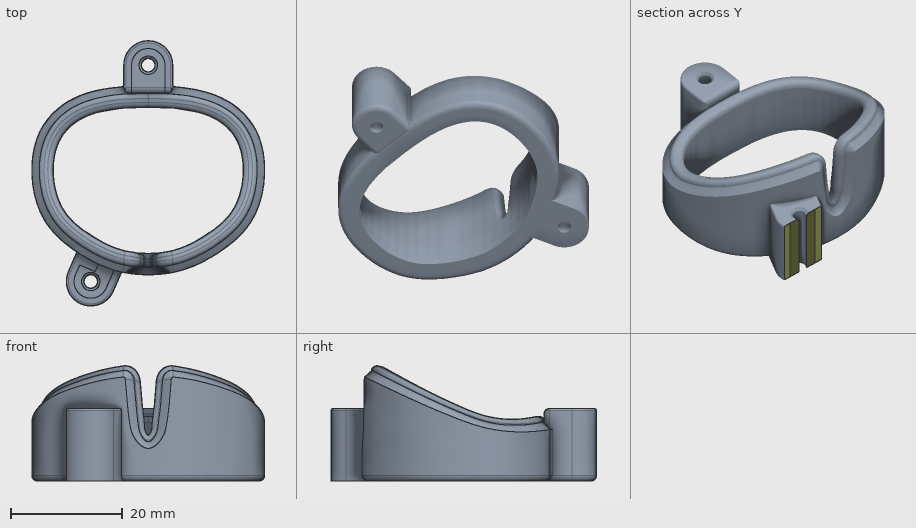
import cadquery as cq
import math

RING_HALF_WIDTH = 20.875
RING_REAR_Y = 15.5
RING_FRONT_Y = -18.38
OUTLINE_RIGHT = [
    (8.7, 14.8),
    (14.7, 12.5),
    (19.0, 8.1),
    (RING_HALF_WIDTH, 0.2),
    (18.2, -9.2),
    (12.15, -14.7),
    (6.1, -17.55),
]
WALL = 3.85
HALF_STATIONS = 12
BEVEL_WIDTH = 1.35
BOTTOM_FILLET = 1.0

BEAD_OUTER_FILLET = 0.84
BEAD_INNER_FILLET = 1.0

BEVEL_FOOT_LINE = (0.447, 10.55, 10.2, 8.8)
BEAD_FOOT_LINE = (0.473, 11.9, 9.0, 10.0)
CREST_OUTER_LINE = (0.473, 12.95, 9.0, 11.1)
CREST_INNER_LINE = (0.525, 13.0, 8.0, 11.05)
RIM_REACH = 30.0
RIM_REAR_Y = 20.0
BLANK_HEIGHT = 30.0
CUTTER_TOP_Z = 2 * BLANK_HEIGHT

NOTCH_TOP_Z = 17.86
NOTCH_HEIGHT = 24.0
NOTCH_TAPER = 0.09
NOTCH_DEPTH = 8.5
NOTCH_LEVELS = (NOTCH_TOP_Z, 12.3, 10.2, 8.6)
BEVEL_FOOT_NOTCH = ((4.1, 3.6, 3.3, 2.9), 5.85, 0.4)
BEAD_FOOT_NOTCH = ((2.55, 2.08, 1.82, 1.46), 7.05, 1.8)
CREST_NOTCH = ((1.42, 0.93, 0.69, 0.39), 8.2, 2.9)
CORNER_MARGIN_X = 3.0
CORNER_LOW_Z = 15.0
CORNER_MAX_DRIFT_X = 0.8
CORNER_MIN_RUN_Y = 1.0
CORNER_MIN_CLIMB = 0.2
UPRIGHT_TOLERANCE = 1e-4

LUG_HEIGHT = 13.0
LUG_RADIUS = 4.4
LUG_LENGTH = 5.0
LUG_EDGE_FILLET = 0.4
LUG_END_FILLET = 1.0
HOLE_DIAMETER = 2.38
HOLE_MOUTH_DIAMETER = 3.3
REAR_LUG = (0.0, 19.2, 180.0)
FRONT_LUG = (-10.3, -19.57, -23.6)

CORE_RADIUS = 3.0
CORE_STEP = 1.93

BLEND_RADIUS = 0.4
BLEND_WALL_Y = 15.34
BLEND_TOP_Z = 9.2


def mirrored_loop(right_half):
    """Closed smooth curve through points running from the rear to the front, and their mirror images."""
    left_half = [(-x, y) for x, y in reversed(right_half[1:-1])]
    points = [cq.Vector(x, y, 0) for x, y in right_half + left_half]
    return cq.Edge.makeSpline(points, periodic=True)


def outline(inset):
    """Closed outline of the ring, moved inward by inset."""
    loop = mirrored_loop([(0, RING_REAR_Y), *OUTLINE_RIGHT, (0, RING_FRONT_Y)])
    if inset:
        moved = []
        for i in range(1, HALF_STATIONS):
            station = i / HALF_STATIONS / 2
            tangent = loop.tangentAt(station)
            point = loop.positionAt(station)
            moved.append((point.x + tangent.y * inset, point.y - tangent.x * inset))
        loop = mirrored_loop([(0, RING_REAR_Y - inset), *moved, (0, RING_FRONT_Y + inset)])
    return cq.Wire.assembleEdges([loop])


def rim_cutter(rim_line):
    """Everything above a rim line, across the full width of the ring."""
    slope, height, valley_y, valley_z = rim_line
    incline = math.atan(slope)
    radius = (valley_z - height + slope * valley_y) / (1 / math.cos(incline) - 1)

    def on_arc(angle):
        return (valley_y + radius * math.sin(angle), valley_z + radius * (1 - math.cos(angle)))

    def on_straight(y):
        return (y, height - slope * y)

    tangent_y = valley_y - radius * math.sin(incline)
    rear_angle = math.asin((RIM_REAR_Y - valley_y) / radius)
    middle_y = (tangent_y - RIM_REACH) / 2
    straight = [on_straight(-RIM_REACH), on_straight(middle_y), on_straight(tangent_y)]
    arc = [on_arc(-incline / 2), on_arc(0), on_arc(rear_angle)]
    return (
        cq.Workplane("YZ", origin=(-RIM_REACH, 0, 0))
        .spline([*straight, *arc])
        .lineTo(RIM_REAR_Y, CUTTER_TOP_Z)
        .lineTo(-RIM_REACH, CUTTER_TOP_Z)
        .close()
        .extrude(2 * RIM_REACH)
    )


def notch_cutter(notch):
    """Tapered, round-ended slot through the front of the ring."""
    half_widths, floor_z, _ = notch
    mouth_half = half_widths[0] + (NOTCH_HEIGHT - NOTCH_TOP_Z) * NOTCH_TAPER
    side = [(mouth_half, NOTCH_HEIGHT), *zip(half_widths, NOTCH_LEVELS)]
    mirrored = [(-x, z) for x, z in side]
    return (
        cq.Workplane("XZ", origin=(0, -NOTCH_DEPTH, 0))
        .spline([*mirrored, (0, floor_z), *reversed(side)])
        .close()
        .extrude(RIM_REACH)
    )


def is_notch_corner(edge):
    """True for an edge that runs along Y and climbs, as the upper corners of the notch do."""
    run = edge.endPoint() - edge.startPoint()
    along_y = abs(run.x) < CORNER_MAX_DRIFT_X and abs(run.y) > CORNER_MIN_RUN_Y
    return along_y and abs(edge.tangentAt(0.5).z) > CORNER_MIN_CLIMB


def wall_face(inset, rim_line, notch):
    """Vertical wall on the outline, from the floor up to the rim line and notch."""
    half_widths, _, corner_radius = notch
    prism = cq.Solid.extrudeLinear(outline(inset), [], cq.Vector(0, 0, BLANK_HEIGHT))
    blank = cq.Workplane(prism).cut(rim_cutter(rim_line)).cut(notch_cutter(notch))
    reach = half_widths[0] + CORNER_MARGIN_X
    corner_box = cq.selectors.BoxSelector(
        (-reach, -RIM_REACH, CORNER_LOW_Z), (reach, -NOTCH_DEPTH, BLANK_HEIGHT)
    )
    corners = [edge for edge in blank.edges(corner_box).vals() if is_notch_corner(edge)]
    blank = blank.newObject(corners).fillet(corner_radius)
    upright = [face for face in blank.faces().vals() if abs(face.normalAt().z) < UPRIGHT_TOLERANCE]
    return max(upright, key=lambda face: face.Area())


def rim_edges(wall):
    """Upper edges of a wall from -X to +X: rim, corner, notch, corner, rim."""
    edges = [edge for edge in wall.Edges() if edge.BoundingBox().zmin > BOTTOM_FILLET]
    return sorted(edges, key=lambda edge: edge.Center().x)


def floor_edge(wall):
    return min(wall.Edges(), key=lambda edge: edge.BoundingBox().zmax)


def bands(lower, upper):
    """Ruled faces between matching edges of two rim lines."""
    return [cq.Face.makeRuledSurface(a, b) for a, b in zip(lower, upper)]


def make_ring():
    """Ring with a bevelled outer rim and a rounded bead that follow the rim and the notch."""
    outer_wall = wall_face(0, BEVEL_FOOT_LINE, BEVEL_FOOT_NOTCH)
    inner_wall = wall_face(WALL, CREST_INNER_LINE, CREST_NOTCH)
    bevel_foot = rim_edges(outer_wall)
    bead_foot = rim_edges(wall_face(BEVEL_WIDTH, BEAD_FOOT_LINE, BEAD_FOOT_NOTCH))
    crest_outer = rim_edges(wall_face(BEVEL_WIDTH, CREST_OUTER_LINE, CREST_NOTCH))
    crest_inner = rim_edges(inner_wall)
    outer_floor = cq.Wire.assembleEdges([floor_edge(outer_wall)])
    inner_floor = cq.Wire.assembleEdges([floor_edge(inner_wall)])
    bevel = bands(bevel_foot, bead_foot)
    bead_side = bands(bead_foot, crest_outer)
    crest = bands(crest_outer, crest_inner)
    floor = cq.Face.makeFromWires(outer_floor, [inner_floor])
    faces = [outer_wall, *bevel, *bead_side, *crest, inner_wall, floor]
    ring = cq.Solid.makeSolid(cq.Shell.makeShell(faces))
    ring = ring.fillet(BOTTOM_FILLET, [floor_edge(outer_wall)])
    ring = ring.fillet(BEAD_OUTER_FILLET, crest_outer)
    return ring.fillet(BEAD_INNER_FILLET, crest_inner)


def place(body, spot):
    x, y, turn = spot
    return body.rotate((0, 0, 0), (0, 0, 1), turn).translate((x, y, 0))


def tongue(radius, length):
    """Upright prism, round about the Z axis, that runs straight to a flat end at Y = length."""
    return (
        cq.Workplane("XY")
        .moveTo(-radius, length)
        .lineTo(-radius, 0)
        .threePointArc((0, -radius), (radius, 0))
        .lineTo(radius, length)
        .close()
        .extrude(LUG_HEIGHT)
    )


def make_lug(exposed_end):
    """Lug about the Z axis; an exposed end stands clear of the wall and has rounded edges."""
    lug = tongue(LUG_RADIUS, LUG_LENGTH)
    if exposed_end:
        lug = lug.faces(">Y").edges("|Z").fillet(LUG_END_FILLET)
        lug = lug.faces("<Z").edges("<Y").fillet(BOTTOM_FILLET)
        lug = lug.faces(">Z").edges("<Y").fillet(LUG_EDGE_FILLET)
        side = cq.Workplane("YZ", origin=(-LUG_RADIUS, 0, 0)).rect(2 * LUG_LENGTH, 2 * LUG_HEIGHT)
        end_rounding = side.extrude(2 * LUG_RADIUS).edges(">Y and >Z").fillet(LUG_END_FILLET)
        lug = lug.intersect(end_rounding)
    else:
        lug = lug.faces(">Z").edges("<Y").fillet(LUG_EDGE_FILLET)
    hole = cq.Workplane("XY").circle(HOLE_DIAMETER / 2).extrude(LUG_HEIGHT)
    chamfer = (HOLE_MOUTH_DIAMETER - HOLE_DIAMETER) / 2
    mouth_base = cq.Vector(0, 0, LUG_HEIGHT - chamfer)
    mouth = cq.Solid.makeCone(HOLE_DIAMETER / 2, HOLE_MOUTH_DIAMETER / 2, chamfer, mouth_base)
    return lug.cut(hole).cut(cq.Workplane(mouth))


def make_core_step():
    """Block that cuts the -X half of the front core short of the ring."""
    corner = (-LUG_RADIUS, CORE_STEP, 0)
    return cq.Workplane("XY", origin=corner).box(LUG_RADIUS, LUG_LENGTH, LUG_HEIGHT, centered=False)


def make_blend():
    """Concave fillet strip for the corner between the ring wall and the +X side of the rear lug."""
    round_x = LUG_RADIUS + BLEND_RADIUS
    round_y = BLEND_WALL_Y + BLEND_RADIUS
    section = (
        cq.Workplane("XY", origin=(0, 0, BOTTOM_FILLET))
        .moveTo(LUG_RADIUS - BLEND_RADIUS, round_y)
        .lineTo(LUG_RADIUS, round_y)
        .radiusArc((round_x, BLEND_WALL_Y), -BLEND_RADIUS)
        .lineTo(round_x, BLEND_WALL_Y - BLEND_RADIUS)
        .lineTo(LUG_RADIUS - BLEND_RADIUS, BLEND_WALL_Y - BLEND_RADIUS)
        .close()
    )
    return section.extrude(BLEND_TOP_Z - BOTTOM_FILLET)


ring = make_ring()
rear_lug = make_lug(exposed_end=True)
front_lug = make_lug(exposed_end=False)

core_prism = tongue(CORE_RADIUS, LUG_LENGTH)
rear_core = place(rear_lug.intersect(core_prism), REAR_LUG)
front_core = place(front_lug.intersect(core_prism.cut(make_core_step())), FRONT_LUG)

blend = make_blend()
housing = cq.Workplane(ring).union(place(rear_lug, REAR_LUG)).union(place(front_lug, FRONT_LUG))
housing = housing.union(blend).union(blend.mirror("YZ"))
housing = housing.cut(rear_core).cut(front_core)

result = cq.Compound.makeCompound([housing.val(), rear_core.val(), front_core.val()])